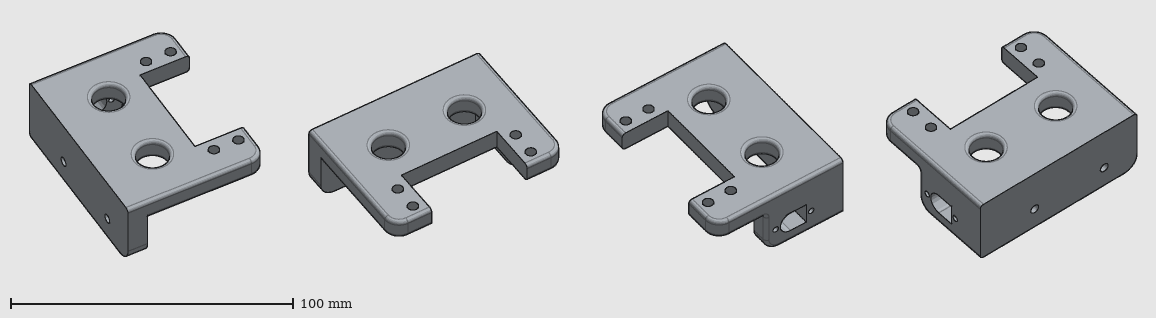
import cadquery as cq

length = 72.0
depth = 56.0
height = 27.0
wall = 8.0
side_wall = 7.0
side_depth = 34.0
corner_radius = 6.0
edge_radius = 1.5
tolerance = 0.01

notch_width = 40.0
notch_start = 36.0

arm_hole_diameter = 4.0
arm_hole_inset = 11.2
arm_hole_rows = (41.05, 51.0)

port_diameter = 12.0
port_spacing = 32.0
first_port_x = 20.0
port_y = 21.0

front_hole_diameter = 3.5
first_front_hole_x = 25.0
front_hole_z = 9.0

connector_flat_y = 16.1
connector_length = 11.4
connector_height = 8.85
connector_z = 9.5
screw_diameter = 2.4
screw_spacing = 15.55
screw_center_y = 21.75


def make_top_plate():
    plate = cq.Workplane("XY").box(length, depth, wall, centered=False)
    plate = plate.edges("|Z and >Y").fillet(corner_radius)
    notch = cq.Workplane("XY").box(notch_width, depth, wall, centered=False)
    notch = notch.translate(((length - notch_width) / 2, notch_start, 0))
    return plate.cut(notch).translate((0, 0, height - wall))


def make_front_plate():
    plate = cq.Workplane("XY").box(length, wall, height, centered=False)
    return plate.edges("|Y and >X and <Z").fillet(corner_radius)


def make_side_plate():
    plate = cq.Workplane("XY").box(side_wall, side_depth, height, centered=False)
    return plate.edges("|X and >Y and <Z").fillet(corner_radius)


def edges_in_box(body, low, high):
    return body.edges(cq.selectors.BoxSelector(low, high, boundingbox=True))


def round_outer_edges(body):
    shelf = height - wall
    body = edges_in_box(
        body,
        (-tolerance, side_depth - tolerance, shelf - tolerance),
        (side_wall + tolerance, side_depth + tolerance, shelf + tolerance),
    ).fillet(edge_radius)

    body = body.faces("<X").edges("<Z or >Z").fillet(edge_radius)
    body = body.faces(">X").edges(">Z").fillet(edge_radius)
    return edges_in_box(
        body,
        (length - tolerance, wall - tolerance, shelf - tolerance),
        (length + tolerance, depth + tolerance, shelf + tolerance),
    ).fillet(edge_radius)


def cut_top_holes(body):
    arm_points = [(x, y) for x in (arm_hole_inset, length - arm_hole_inset) for y in arm_hole_rows]
    port_points = [(first_port_x, port_y), (first_port_x + port_spacing, port_y)]
    arm_holes = cq.Workplane("XY").pushPoints(arm_points).circle(arm_hole_diameter / 2).extrude(height)
    ports = cq.Workplane("XY").pushPoints(port_points).circle(port_diameter / 2).extrude(height)
    body = body.cut(arm_holes).cut(ports)
    reach = port_diameter / 2 + tolerance
    for x, y in port_points:
        for face_z in (height - wall, height):
            body = edges_in_box(
                body,
                (x - reach, y - reach, face_z - tolerance),
                (x + reach, y + reach, face_z + tolerance),
            ).fillet(edge_radius)
    return body


def cut_front_holes(body):
    points = [(first_front_hole_x + i * port_spacing, front_hole_z) for i in range(2)]
    holes = cq.Workplane("XZ").pushPoints(points).circle(front_hole_diameter / 2).extrude(-wall)
    return body.cut(holes)


def cut_connector(body):
    radius = connector_height / 2
    nose_y = connector_flat_y + connector_length
    arc_y = nose_y - radius
    opening = (
        cq.Workplane("YZ")
        .moveTo(connector_flat_y, connector_z - radius)
        .lineTo(arc_y, connector_z - radius)
        .threePointArc((nose_y, connector_z), (arc_y, connector_z + radius))
        .lineTo(connector_flat_y, connector_z + radius)
        .close()
        .extrude(side_wall)
    )
    points = [(screw_center_y + side * screw_spacing / 2, connector_z) for side in (-1, 1)]
    screws = cq.Workplane("YZ").pushPoints(points).circle(screw_diameter / 2).extrude(side_wall)
    return body.cut(opening).cut(screws)


bracket = make_top_plate().union(make_front_plate()).union(make_side_plate())
bracket = round_outer_edges(bracket)
bracket = cut_top_holes(bracket)
bracket = cut_front_holes(bracket)
result = cut_connector(bracket)